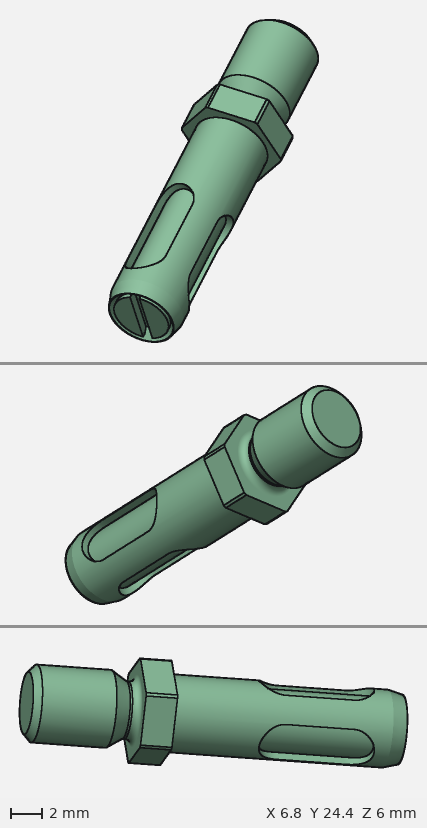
import cadquery as cq
import math

TOTAL_LENGTH = 24.4
FRONT_Y = -TOTAL_LENGTH / 2

BARREL_DIAMETER = 5.0
NOSE_DIAMETER = 4.5
NOSE_LENGTH = 0.98
HEX_FRONT = 15.3
HEX_BACK = 17.35
HEX_ACROSS_FLATS = 6.0
HEX_ACROSS_CORNERS = 6.8
NECK_DIAMETER = 3.7
NECK_FILLET = 0.46
HOUSING_BACK = 17.89

SEAT_MOUTH_DIAMETER = 4.4
SEAT_BOTTOM_DIAMETER = 2.64
SEAT_DEPTH = 0.98
BORE_DIAMETER = 4.0

WINDOW_COUNT = 3
WINDOW_FRONT = 1.98
WINDOW_LENGTH = 7.5
WINDOW_WIDTH = 3.0

SCREW_FACE_DIAMETER = 3.75
DRIVE_SLOT_WIDTH = 0.65
DRIVE_SLOT_DEPTH = 0.65
DRIVE_SLOT_ANGLE = 14.0

STUD_DIAMETER = BARREL_DIAMETER
STUD_NECK_BACK = 18.03
STUD_CONE_BACK = 19.05
STUD_CHAMFER_LENGTH = 0.5
STUD_END_DIAMETER = 4.0
SPIGOT_DIAMETER = 3.0
SPIGOT_FRONT = HEX_FRONT


def turned(profile):
    """Revolve (diameter, station) points, closed along the axis, about Y."""
    outline = [(diameter / 2, FRONT_Y + station) for diameter, station in profile]
    outline = [(0, outline[0][1])] + outline + [(0, outline[-1][1])]
    return cq.Workplane("XY").polyline(outline).close().revolve(360, (0, 0, 0), (0, 1, 0))


def seat_cone():
    return turned([(SEAT_MOUTH_DIAMETER, 0), (SEAT_BOTTOM_DIAMETER, SEAT_DEPTH)])


def make_hex_collar():
    """Hexagon with flats facing up and down and its corners turned off round."""
    length = HEX_BACK - HEX_FRONT
    sharp_corners = HEX_ACROSS_FLATS / math.cos(math.pi / 6)
    plane = cq.Workplane("XZ", origin=(0, FRONT_Y + HEX_BACK, 0))
    prism = plane.polygon(6, sharp_corners).extrude(length)
    blank = plane.circle(HEX_ACROSS_CORNERS / 2).extrude(length)
    return prism.intersect(blank)


def make_neck():
    """Short neck behind the collar, flared into it by a concave fillet."""
    radius = NECK_DIAMETER / 2
    hex_y = FRONT_Y + HEX_BACK
    back_y = FRONT_Y + HOUSING_BACK
    arc_offset = NECK_FILLET * (1 - math.sqrt(0.5))
    return (
        cq.Workplane("XY")
        .moveTo(0, hex_y)
        .lineTo(radius + NECK_FILLET, hex_y)
        .threePointArc((radius + arc_offset, hex_y + arc_offset), (radius, hex_y + NECK_FILLET))
        .lineTo(radius, back_y)
        .lineTo(0, back_y)
        .close()
        .revolve(360, (0, 0, 0), (0, 1, 0))
    )


def make_window_cutter(angle):
    """Radial round-ended cutter; angle is measured from +X about the Y axis."""
    center_y = FRONT_Y + WINDOW_FRONT + WINDOW_LENGTH / 2
    return (
        cq.Workplane("YZ", origin=(0, center_y, 0))
        .slot2D(WINDOW_LENGTH, WINDOW_WIDTH)
        .extrude(BARREL_DIAMETER)
        .rotate((0, 0, 0), (0, 1, 0), angle)
    )


def make_housing():
    barrel = turned([(NOSE_DIAMETER, 0), (BARREL_DIAMETER, NOSE_LENGTH), (BARREL_DIAMETER, HEX_FRONT)])
    body = barrel.union(make_hex_collar()).union(make_neck())
    bore = turned([(BORE_DIAMETER, SEAT_DEPTH), (BORE_DIAMETER, SPIGOT_FRONT)])
    spigot_hole = turned([(SPIGOT_DIAMETER, SPIGOT_FRONT), (SPIGOT_DIAMETER, HOUSING_BACK)])
    body = body.cut(seat_cone()).cut(bore).cut(spigot_hole)
    for index in range(WINDOW_COUNT):
        body = body.cut(make_window_cutter(index * 360 / WINDOW_COUNT))
    return body


def make_core():
    """Plain rod that fills the bore and shows through the windows."""
    return turned([(BORE_DIAMETER, SEAT_DEPTH), (BORE_DIAMETER, SPIGOT_FRONT)])


def make_screw():
    """Flush screw seated in the cone, with a driver slot across its face."""
    face_cylinder = turned([(SCREW_FACE_DIAMETER, 0), (SCREW_FACE_DIAMETER, SEAT_DEPTH)])
    drive_slot = (
        cq.Workplane("XY")
        .box(DRIVE_SLOT_WIDTH, DRIVE_SLOT_DEPTH, BARREL_DIAMETER)
        .translate((0, FRONT_Y + DRIVE_SLOT_DEPTH / 2, 0))
        .rotate((0, 0, 0), (0, 1, 0), -DRIVE_SLOT_ANGLE)
    )
    return seat_cone().intersect(face_cylinder).cut(drive_slot)


def make_stud():
    """Rear stud on a tapered neck, with a spigot that enters the collar."""
    return turned([
        (SPIGOT_DIAMETER, SPIGOT_FRONT),
        (SPIGOT_DIAMETER, HOUSING_BACK),
        (NECK_DIAMETER, HOUSING_BACK),
        (NECK_DIAMETER, STUD_NECK_BACK),
        (STUD_DIAMETER, STUD_CONE_BACK),
        (STUD_DIAMETER, TOTAL_LENGTH - STUD_CHAMFER_LENGTH),
        (STUD_END_DIAMETER, TOTAL_LENGTH),
    ])


housing = make_housing()
core = make_core()
screw = make_screw()
stud = make_stud()

result = cq.Compound.makeCompound([housing.val(), core.val(), screw.val(), stud.val()])